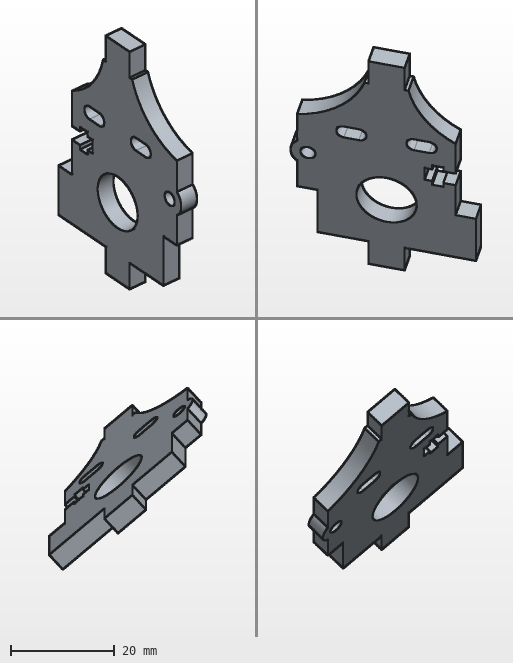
import cadquery as cq

thickness = 4.0
overall_height = 55.5
top = 37.1
bottom = top - overall_height

near_side = 13.75
far_side = 17.8
step_z = -0.7
foot_bottom = -12.25

tab_half_width = 3.6
shoulder_z = 31.0
shoulder_half_width = 4.4
shoulder_radius = 18.0
left_shoulder_end_z = 18.8
right_shoulder_end_z = 19.1

bore_diameter = 12.0
small_diameter = 3.0
slot_length = 6.0
slot_spacing = 14.0
slot_z = 16.5

fixing_z = 9.05
lug_radius = 3.5
lug_x = 15.65
notch_depth = 6.15
notch_height = 3.15
nut_x = -10.2
nut_width = 2.2
nut_height = 5.2


def workplane():
    """XZ plane at the back face, so that extruding goes toward -Y."""
    return cq.Workplane("XZ", origin=(0, thickness / 2, 0))


def make_plate():
    return (
        workplane()
        .moveTo(-tab_half_width, bottom)
        .lineTo(tab_half_width, bottom)
        .lineTo(tab_half_width, foot_bottom)
        .lineTo(near_side, foot_bottom)
        .lineTo(near_side, step_z)
        .lineTo(far_side, step_z)
        .lineTo(far_side, right_shoulder_end_z)
        .radiusArc((shoulder_half_width, shoulder_z), shoulder_radius)
        .lineTo(tab_half_width, shoulder_z)
        .lineTo(tab_half_width, top)
        .lineTo(-tab_half_width, top)
        .lineTo(-tab_half_width, shoulder_z)
        .lineTo(-shoulder_half_width, shoulder_z)
        .radiusArc((-near_side, left_shoulder_end_z), shoulder_radius)
        .lineTo(-near_side, step_z)
        .lineTo(-far_side, step_z)
        .lineTo(-far_side, foot_bottom)
        .lineTo(-tab_half_width, foot_bottom)
        .close()
        .extrude(thickness)
    )


def make_lug():
    return workplane().center(lug_x, fixing_z).circle(lug_radius).extrude(thickness)


def make_round_hole(x, z, diameter):
    return workplane().center(x, z).circle(diameter / 2).extrude(thickness)


def make_slots():
    centres = [(-slot_spacing / 2, slot_z), (slot_spacing / 2, slot_z)]
    return workplane().pushPoints(centres).slot2D(slot_length, small_diameter).extrude(thickness)


def make_notch():
    channel_x = -near_side + notch_depth / 2
    channel = workplane().center(channel_x, fixing_z).rect(notch_depth, notch_height).extrude(thickness)
    nut_pocket = workplane().center(nut_x, fixing_z).rect(nut_width, nut_height).extrude(thickness)
    return channel.union(nut_pocket)


result = (
    make_plate()
    .union(make_lug())
    .cut(make_round_hole(0, 0, bore_diameter))
    .cut(make_round_hole(lug_x, fixing_z, small_diameter))
    .cut(make_slots())
    .cut(make_notch())
)